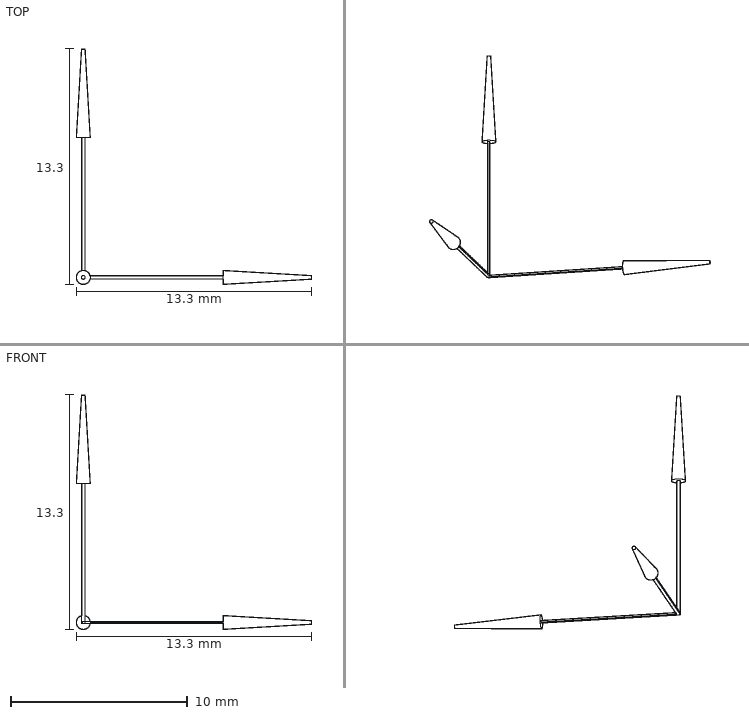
import cadquery as cq

overall_length = 13.3
head_length = 5.0
head_base_radius = 0.4
head_tip_radius = 0.1
shaft_width = 0.2
shaft_thickness = 0.1
vertical_drop = shaft_thickness / 2

arrow_length = overall_length - head_base_radius
vertical_arrow_length = arrow_length - vertical_drop


def make_arrow(direction, wide_side, length):
    """Flat rectangular shaft with a tapered round head, starting just behind the origin."""
    head_start = length - head_length
    plane = cq.Plane(origin=(0, 0, 0), xDir=wide_side, normal=direction)
    shaft = (
        cq.Workplane(plane)
        .workplane(offset=-shaft_thickness / 2)
        .rect(shaft_width, shaft_thickness)
        .extrude(head_start + shaft_thickness / 2)
    )
    head = (
        cq.Workplane(plane)
        .workplane(offset=head_start)
        .circle(head_base_radius)
        .workplane(offset=head_length)
        .circle(head_tip_radius)
        .loft()
    )
    return shaft.union(head)


arrow_x = make_arrow((1, 0, 0), (0, 1, 0), arrow_length)
arrow_y = make_arrow((0, 1, 0), (1, 0, 0), arrow_length)
arrow_z = make_arrow((0, 0, 1), (1, 0, 0), vertical_arrow_length)

result = arrow_x.union(arrow_y).union(arrow_z)